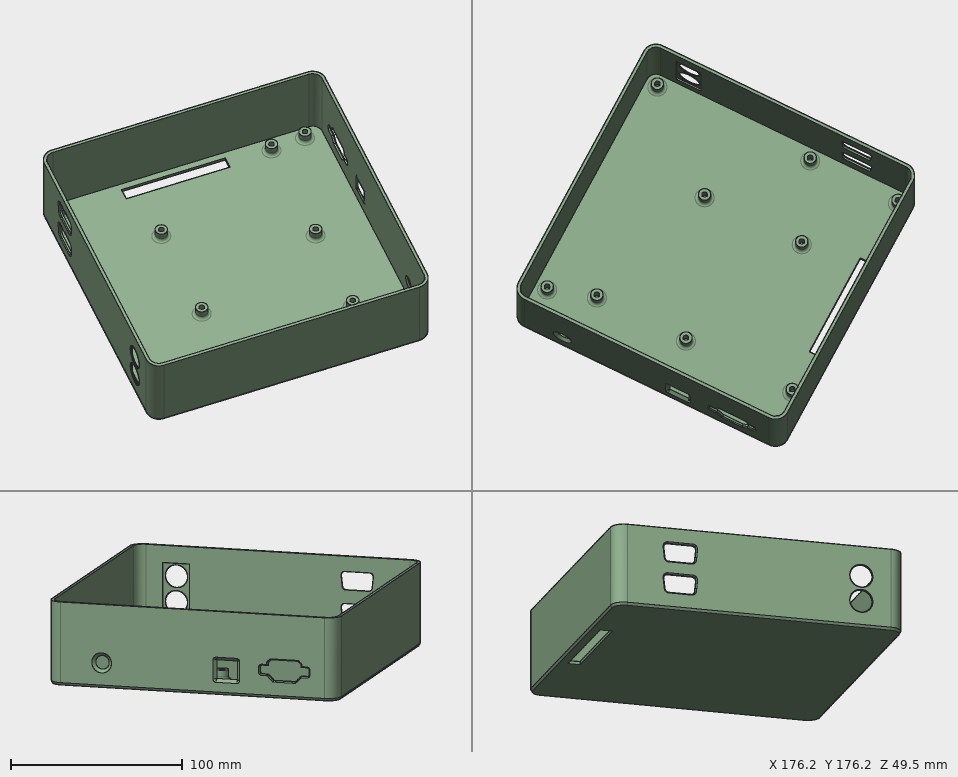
import cadquery as cq
import math

SIDE = 176.2
HEIGHT = 49.5
WALL = 2.0
FLOOR = 2.0
CORNER_RADIUS = 8.0
BOTTOM_CHAMFER_HEIGHT = 1.5
BOTTOM_CHAMFER_INSET = 0.9

BOSS_DIAMETER = 7.2
BOSS_HEIGHT = 6.0
BOSS_HOLE_DIAMETER = 3.2
BOSS_FOOT_RADIUS = 2.0
BOSS_CENTRES = [
    (-79.0, 74.9),
    (-77.3, 53.2),
    (-7.8, 53.2),
    (50.5, 53.2),
    (78.5, 62.0),
    (-40.7, -30.5),
    (22.9, -30.5),
    (-79.0, -78.8),
    (-21.5, -78.8),
    (78.5, -78.8),
]

SLOT_X = -78.4
SLOT_Y = -6.3
SLOT_WIDTH = 7.4
SLOT_LENGTH = 65.0

FRONT = -1
BACK = 1

PORT_X = -48.1
PORT_Z = (15.9, 34.9)
PORT_WIDTH = 20.0
PORT_HEIGHT = 11.0
SIDE_SLANT = 6.0
PORT_CORNER_RADIUS = 2.3
PORT_BEVEL = 0.7

ROUND_PORT_X = 62.0
ROUND_PORT_Z = (16.0, 31.4)
ROUND_PORT_DIAMETER = 13.4
ROUND_PORT_BEVEL = 0.4

RECESS_WIDTH = 16.2
RECESS_HEIGHT = 31.0
RECESS_WEB = 0.9

FULL_BEVEL = WALL
JACK_X = 55.3
JACK_Z = 14.8
JACK_DIAMETER = 8.1
WINDOW_X = -20.5
WINDOW_Z = 14.8
WINDOW_WIDTH = 12.3
WINDOW_HEIGHT = 11.1
SOCKET_X = -55.7
SOCKET_Z = 16.4
SOCKET_WIDTH = 20.0
SOCKET_HEIGHT = 12.3
SOCKET_TOP_CHAMFER = 1.8
SOCKET_BOTTOM_CHAMFER = 3.5
SOCKET_EARS_WIDTH = 30.0
SOCKET_EARS_HEIGHT = 5.3
SOCKET_EAR_RADIUS = 1.4
SOCKET_BEVEL = 0.7


def shell():
    outer = cq.Workplane("XY").rect(SIDE, SIDE).extrude(HEIGHT)
    outer = outer.edges("|Z").fillet(CORNER_RADIUS)
    outer = outer.faces("<Z").chamfer(BOTTOM_CHAMFER_HEIGHT, BOTTOM_CHAMFER_INSET)
    inside = SIDE - 2 * WALL
    cavity = cq.Workplane("XY").workplane(offset=FLOOR).rect(inside, inside).extrude(HEIGHT)
    return outer.cut(cavity.edges("|Z").fillet(CORNER_RADIUS - WALL))


def boss():
    """Post with a concave round foot and a blind screw hole, sunk into the floor for a sound joint."""
    radius = BOSS_DIAMETER / 2
    hole_radius = BOSS_HOLE_DIAMETER / 2
    foot = BOSS_FOOT_RADIUS
    sink = FLOOR / 2
    arc_point = foot * (1 - math.sqrt(0.5))
    return (
        cq.Workplane("XZ")
        .moveTo(0, -sink)
        .lineTo(radius + foot, -sink)
        .lineTo(radius + foot, 0)
        .threePointArc((radius + arc_point, arc_point), (radius, foot))
        .lineTo(radius, BOSS_HEIGHT)
        .lineTo(hole_radius, BOSS_HEIGHT)
        .lineTo(hole_radius, 0)
        .lineTo(0, 0)
        .close()
        .revolve(360, (0, 0), (0, 1))
        .translate((0, 0, FLOOR))
    )


def d_outline(width, height, corner_radius):
    """Rounded D shape, widest at the top."""
    top = width / 2
    bottom = top - height * math.tan(math.radians(SIDE_SLANT))
    corners = [(-top, height / 2), (top, height / 2), (bottom, -height / 2), (-bottom, -height / 2)]
    return cq.Sketch().polygon(corners + corners[:1]).vertices().fillet(corner_radius).reset()


def socket_outline():
    """Chamfered socket body with a rounded screw ear on each side."""
    body = cq.Sketch().rect(SOCKET_WIDTH, SOCKET_HEIGHT)
    body = body.vertices(">Y").chamfer(SOCKET_TOP_CHAMFER).reset()
    body = body.vertices("<Y").chamfer(SOCKET_BOTTOM_CHAMFER).reset()
    ears = cq.Sketch().rect(SOCKET_EARS_WIDTH, SOCKET_EARS_HEIGHT)
    ears = ears.vertices().fillet(SOCKET_EAR_RADIUS).reset()
    return body.face(ears).clean()


def wall_opening(outline, x, z, bevel, wall_side):
    """Cutter through the front or back wall, bevelled at 45 degrees from the outer face."""
    inner_y = wall_side * (SIDE / 2 - WALL)
    bevel_y = wall_side * (SIDE / 2 - bevel)
    through = cq.Workplane("XZ", origin=(x, inner_y, z)).placeSketch(outline).extrude(-wall_side * WALL)
    flare = cq.Workplane("XZ", origin=(x, bevel_y, z)).placeSketch(outline)
    return through.union(flare.extrude(-wall_side * bevel, taper=-45))


d_port = d_outline(PORT_WIDTH, PORT_HEIGHT, PORT_CORNER_RADIUS)
round_port = cq.Sketch().circle(ROUND_PORT_DIAMETER / 2)
jack = cq.Sketch().circle(JACK_DIAMETER / 2)
window = cq.Sketch().rect(WINDOW_WIDTH, WINDOW_HEIGHT)

result = shell()

for x, y in BOSS_CENTRES:
    result = result.union(boss().translate((x, y, 0)))

floor_slot = cq.Workplane("XY").center(SLOT_X, SLOT_Y).rect(SLOT_WIDTH, SLOT_LENGTH).extrude(FLOOR)
result = result.cut(floor_slot)

for z in PORT_Z:
    result = result.cut(wall_opening(d_port, PORT_X, z, PORT_BEVEL, FRONT))

for z in ROUND_PORT_Z:
    result = result.cut(wall_opening(round_port, ROUND_PORT_X, z, ROUND_PORT_BEVEL, FRONT))

recess_z = sum(ROUND_PORT_Z) / len(ROUND_PORT_Z)
recess = cq.Workplane("XZ", origin=(ROUND_PORT_X, WALL - SIDE / 2, recess_z))
recess = recess.rect(RECESS_WIDTH, RECESS_HEIGHT).extrude(WALL - RECESS_WEB)
result = result.cut(recess)

result = result.cut(wall_opening(jack, JACK_X, JACK_Z, FULL_BEVEL, BACK))
result = result.cut(wall_opening(window, WINDOW_X, WINDOW_Z, FULL_BEVEL, BACK))
result = result.cut(wall_opening(socket_outline(), SOCKET_X, SOCKET_Z, SOCKET_BEVEL, BACK))